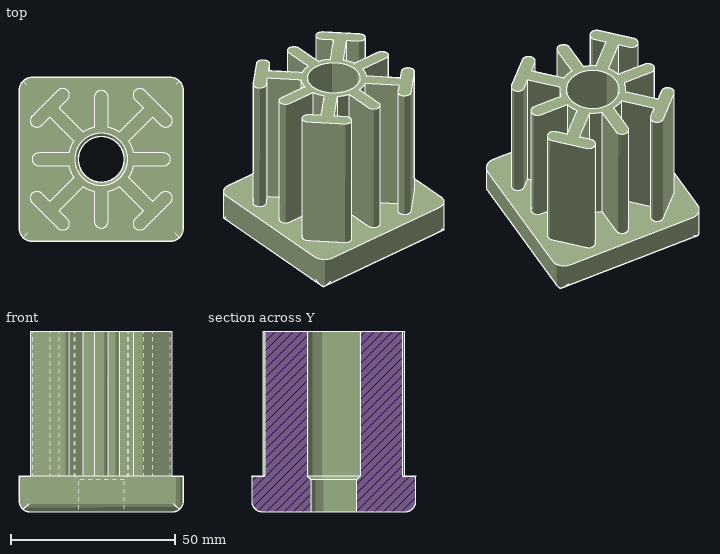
import cadquery as cq

base_side = 50.0
base_height = 11.0
base_corner_radius = 4.0
base_bottom_radius = 3.4

total_height = 54.99
stem_height = total_height - base_height
hub_diameter = 20.0
rib_width = 4.0
rib_reach = 21.0

bar_length = 15.1
bar_outer_distance = 24.15
bar_center_distance = bar_outer_distance - rib_width / 2

bore_upper_diameter = 16.0
bore_lower_diameter = 13.84
cone_height = (bore_upper_diameter - bore_lower_diameter) / 2

straight_directions = (0, 90, 180, 270)
diagonal_directions = (45, 135, 225, 315)


def make_base():
    """Square plate with rounded bottom edges and rounded vertical corners."""
    plate = cq.Workplane("XY").box(base_side, base_side, base_height, centered=(True, True, False))
    plate = plate.faces("<Z").edges().fillet(base_bottom_radius)
    corner_column = (
        cq.Workplane("XY")
        .box(base_side, base_side, base_height, centered=(True, True, False))
        .edges("|Z")
        .fillet(base_corner_radius)
    )
    return plate.intersect(corner_column)


def stem_plane():
    """Workplane on the top face of the base."""
    return cq.Workplane("XY").workplane(offset=base_height)


def make_straight_rib(angle):
    """Radial rib with a full-round outer end."""
    tip_center = rib_reach - rib_width / 2
    web = stem_plane().center(tip_center / 2, 0).rect(tip_center, rib_width).extrude(stem_height)
    tip = stem_plane().center(tip_center, 0).circle(rib_width / 2).extrude(stem_height)
    return web.union(tip).rotate((0, 0, 0), (0, 0, 1), angle)


def make_t_rib(angle):
    """Radial rib that ends in a round-ended cross bar."""
    web = (
        stem_plane()
        .center(bar_center_distance / 2, 0)
        .rect(bar_center_distance, rib_width)
        .extrude(stem_height)
    )
    bar = (
        stem_plane()
        .center(bar_center_distance, 0)
        .slot2D(bar_length, rib_width, 90)
        .extrude(stem_height)
    )
    return web.union(bar).rotate((0, 0, 0), (0, 0, 1), angle)


def make_bore():
    """Stepped through bore with a conical step between its two diameters."""
    lower_radius = bore_lower_diameter / 2
    upper_radius = bore_upper_diameter / 2
    cone_bottom = base_height - cone_height
    profile = [
        (0, 0),
        (lower_radius, 0),
        (lower_radius, cone_bottom),
        (upper_radius, base_height),
        (upper_radius, total_height),
        (0, total_height),
    ]
    return cq.Workplane("XZ").polyline(profile).close().revolve(360, (0, 0, 0), (0, 1, 0))


stem = stem_plane().circle(hub_diameter / 2).extrude(stem_height)
for direction in straight_directions:
    stem = stem.union(make_straight_rib(direction))
for direction in diagonal_directions:
    stem = stem.union(make_t_rib(direction))

result = make_base().union(stem).cut(make_bore())